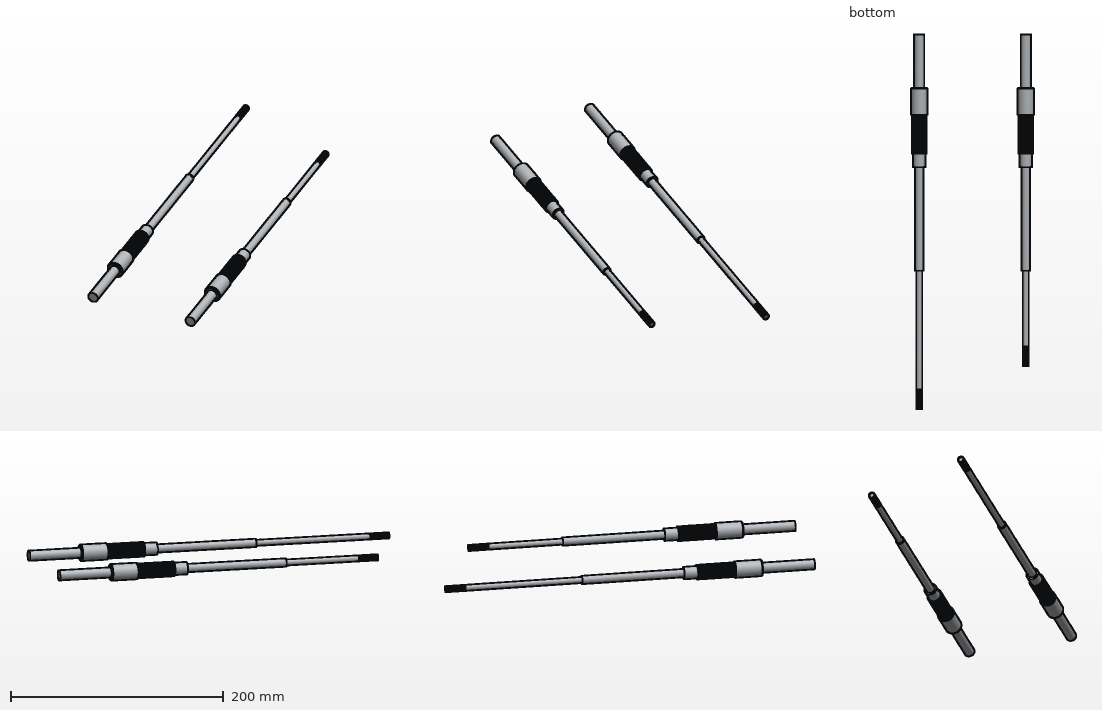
import cadquery as cq

cable_spacing = 100.2
long_rod_tip_y = 352.8
short_rod_tip_y = 312.2

conduit_diameter = 10.0
conduit_length = 50.0

collar_diameter = 16.0
collar_length = 25.8
collar_chamfer = 1.0
hub_thread_diameter = 14.0
hub_thread_length = 36.5
hub_thread_pitch = 1.25
neck_diameter = 12.0
neck_length = 12.7

sleeve_diameter = 8.0
sleeve_length = 97.5

rod_diameter = 6.0
rod_thread_length = 19.0
rod_thread_pitch = 1.0

thread_depth_ratio = 0.54
crest_flat_ratio = 1 / 8
root_flat_ratio = 1 / 4

collar_start_y = conduit_length
thread_start_y = collar_start_y + collar_length
neck_start_y = thread_start_y + hub_thread_length
sleeve_start_y = neck_start_y + neck_length
rod_start_y = sleeve_start_y + sleeve_length


def cylinder(diameter, start_y, end_y):
    """Round bar on the Y axis between two places."""
    return cq.Workplane("XZ", origin=(0, start_y, 0)).circle(diameter / 2).extrude(start_y - end_y)


def threaded_bar(diameter, start_y, length, pitch):
    """Round bar whose thread is a row of flat-bottomed V grooves, each a closed ring."""
    crest_radius = diameter / 2
    root_radius = crest_radius - thread_depth_ratio * pitch
    groove_count = round(length / pitch)
    step = length / groove_count
    half_crest = crest_flat_ratio * step / 2
    half_root = root_flat_ratio * step / 2

    outline = cq.Workplane("XY").moveTo(0, start_y).lineTo(crest_radius, start_y)
    for i in range(groove_count):
        groove_start_y = start_y + i * step
        groove_middle_y = groove_start_y + step / 2
        groove_end_y = groove_start_y + step
        outline = outline.lineTo(crest_radius, groove_start_y + half_crest)
        outline = outline.lineTo(root_radius, groove_middle_y - half_root)
        outline = outline.lineTo(root_radius, groove_middle_y + half_root)
        outline = outline.lineTo(crest_radius, groove_end_y - half_crest)
    outline = outline.lineTo(crest_radius, start_y + length).lineTo(0, start_y + length).close()
    return outline.revolve(360, (0, 0, 0), (0, 1, 0))


def make_conduit():
    return cylinder(conduit_diameter, 0, conduit_length)


def make_hub():
    collar = cylinder(collar_diameter, collar_start_y, thread_start_y)
    collar = collar.faces("<Y").chamfer(collar_chamfer)
    thread = threaded_bar(hub_thread_diameter, thread_start_y, hub_thread_length, hub_thread_pitch)
    neck = cylinder(neck_diameter, neck_start_y, sleeve_start_y)
    return collar.union(thread).union(neck)


def make_sleeve():
    return cylinder(sleeve_diameter, sleeve_start_y, rod_start_y)


def make_rod(tip_y):
    rod_thread_start_y = tip_y - rod_thread_length
    plain = cylinder(rod_diameter, rod_start_y, rod_thread_start_y)
    thread = threaded_bar(rod_diameter, rod_thread_start_y, rod_thread_length, rod_thread_pitch)
    return plain.union(thread)


bodies = []
for cable_x, tip_y in [(0, long_rod_tip_y), (cable_spacing, short_rod_tip_y)]:
    for body in (make_conduit(), make_hub(), make_sleeve(), make_rod(tip_y)):
        bodies.append(body.translate((cable_x, 0, 0)).val())

result = cq.Compound.makeCompound(bodies)